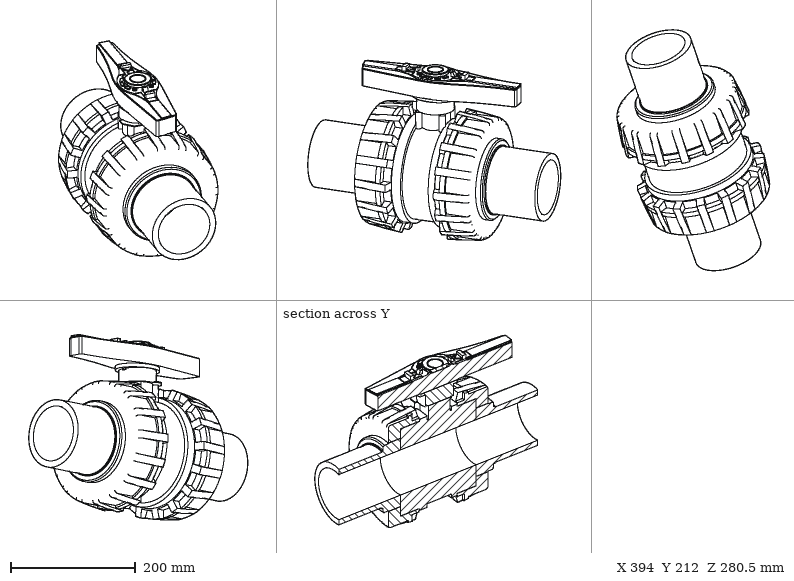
import cadquery as cq

OVERALL_LENGTH = 394.0
STEM_X = -2.0

BORE_DIAMETER = 89.0
FLANGE_DIAMETER = 178.0
WAIST_DIAMETER = 164.0
WAIST_LENGTH = 48.0
SPIGOT_DIAMETER = 171.0
BODY_END = 75.0

NECK_DIAMETER = 49.2
NECK_TOP = 107.5
NECK_ROOT = 59.0
POST_DIAMETER = 10.5
POST_OFFSET = 20.0

NUT_INNER_END = 38.0
NUT_OUTER_END = 99.0
NUT_DIAMETER = 199.5
NUT_EDGE_RADIUS = 4.7
SLEEVE_DIAMETER = 183.0
BAND_START = 51.2
BAND_END = 60.0
BAND_HIGH_RADIUS = 104.5
BAND_LOW_RADIUS = 103.2
RIB_COUNT = 16
RIB_WIDTH = 13.0
RIB_BAR_TOP = 110.5
RIB_INNER_END = 41.8
RIB_HIGH_RADIUS = 106.0
RIB_MIDDLE_RADIUS = 103.2
RIB_LOW_RADIUS = 99.3

PIPE_DIAMETER = 110.0
COLLAR_DIAMETER = 132.5
COLLAR_END = 109.5
COLLAR_CHAMFER = 2.5
STEP_DIAMETER = 113.5
STEP_END = 112.0

HUB_DIAMETER = 60.5
HUB_FLANGE_LENGTH = 78.8
HUB_FLANGE_WIDTH = 64.0
HUB_FLANGE_HEIGHT = 6.0
HUB_LUG_REACH = 1.0
HUB_LUG_WIDTH = 6.5
HUB_LUG_HEIGHT = 2.5
STOP_INNER = 7.0
STOP_OUTER = 34.5
STOP_CHAMFER = 15.0
STOP_THICKNESS = 1.5

HANDLE_BOTTOM = 135.5
HANDLE_SHOULDER = 165.5
HANDLE_TOP = 168.0
EDGE_CHAMFER = 1.0
RAIL_WIDTH = 17.7
RAIL_REACH = 157.5
POCKET_DEPTH = 1.0
POCKET_REACH = 19.7
MARK_TOP = 170.0
POINTER_TOP = 174.5
WEB_WIDTH = 15.8
WEB_START = 33.0
BLOCK_START = 48.0
BLOCK_END = 54.8
GRIP_RECESS_END = 66.5
ARROW_TIP = 37.5
WEDGE_WIDTH = 8.0
WEDGE_START = 28.5
WEDGE_CREST_END = 32.0
WEDGE_END = 36.0
MARK_RING_RADIUS = 26.5
MARK_LENGTH = 9.0
MARK_WIDTH = 5.0
MARK_PITCH = 30.0
MARK_STEPS = [2, 3, 4, 5, 7, 8, 9, 10]
BOSS_DIAMETER = 7.0
BOSS_ANGLE = 33.0
BOSS_HOLE_DIAMETER = 4.5
BOSS_HOLE_DEPTH = 6.0

CAP_NECK_DIAMETER = 38.0
CAP_DIAMETER = 43.5
CAP_CHAMFER = 1.0
CAP_RING_OUTER = 26.0
CAP_RING_INNER = 24.0
CAP_RING_DEPTH = 0.8


def cylinder_x(diameter, start, end):
    """Round bar along the pipe axis."""
    return cq.Workplane("YZ").workplane(offset=start).circle(diameter / 2).extrude(end - start)


def cylinder_z(diameter, bottom, top):
    """Round bar along the local Z axis."""
    return cq.Workplane("XY").workplane(offset=bottom).circle(diameter / 2).extrude(top - bottom)


def block(x_range, y_range, z_range):
    """Box between two limits along each axis."""
    size = [high - low for low, high in (x_range, y_range, z_range)]
    corner = (x_range[0], y_range[0], z_range[0])
    return cq.Workplane("XY").box(*size, centered=False).translate(corner)


def both_ends(part):
    """A part on the +X end and its mirror image on the -X end."""
    return [part, part.mirror("YZ")]


def make_body():
    waist_start = STEM_X - WAIST_LENGTH / 2
    body = cylinder_x(SPIGOT_DIAMETER, -BODY_END, BODY_END)
    body = body.union(cylinder_x(FLANGE_DIAMETER, -NUT_INNER_END, waist_start))
    body = body.union(cylinder_x(FLANGE_DIAMETER, waist_start + WAIST_LENGTH, NUT_INNER_END))

    waist_gap = (
        cq.Workplane("YZ").workplane(offset=waist_start)
        .circle(FLANGE_DIAMETER / 2).circle(WAIST_DIAMETER / 2).extrude(WAIST_LENGTH)
    )
    body = body.cut(waist_gap)

    neck = cylinder_z(NECK_DIAMETER, NECK_ROOT, NECK_TOP)
    posts = (
        cq.Workplane("XY").workplane(offset=NECK_ROOT)
        .rect(2 * POST_OFFSET, 2 * POST_OFFSET, forConstruction=True).vertices()
        .circle(POST_DIAMETER / 2).extrude(NECK_TOP - STOP_THICKNESS - NECK_ROOT)
    )
    body = body.union(neck.union(posts).translate((STEM_X, 0, 0)))
    return body.cut(cylinder_x(BORE_DIAMETER, -BODY_END, BODY_END))


def rounded_outer_edge(ring):
    """Round the rim of a ring at the outer end of the nut."""
    return ring.faces(">X").edges().fillet(NUT_EDGE_RADIUS)


def make_nut_ribs():
    """Tapered ribs, cut from a full ring by radial bars."""
    envelope = (
        cq.Workplane("XY")
        .moveTo(NUT_INNER_END, 0)
        .lineTo(NUT_INNER_END, SLEEVE_DIAMETER / 2)
        .lineTo(RIB_INNER_END, RIB_HIGH_RADIUS)
        .threePointArc(
            ((RIB_INNER_END + NUT_OUTER_END) / 2, RIB_MIDDLE_RADIUS),
            (NUT_OUTER_END, RIB_LOW_RADIUS),
        )
        .lineTo(NUT_OUTER_END, 0)
        .close().revolve(360, (0, 0), (1, 0))
    )
    envelope = rounded_outer_edge(envelope)
    inner_radius = SPIGOT_DIAMETER / 2
    bars = cq.Workplane("XY")
    for index in range(RIB_COUNT):
        bar = block(
            (NUT_INNER_END, NUT_OUTER_END),
            (-RIB_WIDTH / 2, RIB_WIDTH / 2),
            (inner_radius, RIB_BAR_TOP),
        )
        bars = bars.add(bar.rotate((0, 0, 0), (1, 0, 0), index * 360 / RIB_COUNT))
    return [envelope.intersect(cq.Workplane(bar)) for bar in bars.vals()]


def make_nut():
    barrel = rounded_outer_edge(cylinder_x(NUT_DIAMETER, BAND_START, NUT_OUTER_END))
    sleeve = cylinder_x(SLEEVE_DIAMETER, NUT_INNER_END, BAND_START)
    band = (
        cq.Workplane("XY")
        .polyline([
            (BAND_START, 0),
            (BAND_START, BAND_HIGH_RADIUS),
            (BAND_END, BAND_LOW_RADIUS),
            (BAND_END, 0),
        ])
        .close().revolve(360, (0, 0), (1, 0))
    )
    nut = barrel.union(sleeve).union(band)
    for rib in make_nut_ribs():
        nut = nut.union(rib)
    nut = nut.cut(cylinder_x(SPIGOT_DIAMETER, NUT_INNER_END, BODY_END))
    return nut.cut(cylinder_x(COLLAR_DIAMETER, BODY_END, NUT_OUTER_END))


def make_tail():
    collar = cylinder_x(COLLAR_DIAMETER, BODY_END, COLLAR_END).faces(">X").chamfer(COLLAR_CHAMFER)
    step = cylinder_x(STEP_DIAMETER, COLLAR_END, STEP_END)
    pipe = cylinder_x(PIPE_DIAMETER, BODY_END, OVERALL_LENGTH / 2)
    tail = collar.union(step).union(pipe)
    return tail.cut(cylinder_x(BORE_DIAMETER, BODY_END, OVERALL_LENGTH / 2))


def make_hub():
    flange_bottom = HANDLE_BOTTOM - HUB_FLANGE_HEIGHT
    hub = cylinder_z(HUB_DIAMETER, NECK_TOP, HANDLE_BOTTOM)
    flange = (
        cq.Workplane("XY").workplane(offset=flange_bottom)
        .ellipse(HUB_FLANGE_LENGTH / 2, HUB_FLANGE_WIDTH / 2).extrude(HUB_FLANGE_HEIGHT)
    )

    lug_reach = HUB_DIAMETER / 2 + HUB_LUG_REACH
    lugs = block(
        (-lug_reach, lug_reach),
        (-HUB_LUG_WIDTH / 2, HUB_LUG_WIDTH / 2),
        (flange_bottom - HUB_LUG_HEIGHT, flange_bottom),
    )

    limits = (STOP_INNER, STOP_OUTER)
    stop = block(limits, (-STOP_OUTER, -STOP_INNER), (NECK_TOP, NECK_TOP + STOP_THICKNESS))
    stop = stop.edges("|Z and >X and <Y").chamfer(STOP_CHAMFER)
    return hub.union(flange).union(lugs).union(stop).translate((STEM_X, 0, 0))


def handle_outline():
    """Long grip: a curved arm towards -X, a bulge at the stem and a straight arm towards +X."""
    return (
        cq.Workplane("XY")
        .moveTo(-145.0, 9.0)
        .lineTo(-143.0, 14.0)
        .threePointArc((-93.5, 19.0), (-45.5, 28.5))
        .threePointArc((-8.3, 34.3), (20.5, 33.0))
        .lineTo(117.5, 20.0)
        .lineTo(120.5, 17.0)
        .threePointArc((124.5, -1.5), (126.5, -14.0))
        .lineTo(125.3, -18.5)
        .lineTo(20.5, -33.0)
        .threePointArc((-8.3, -34.3), (-45.5, -28.5))
        .threePointArc((-93.5, -19.0), (-143.0, -14.0))
        .lineTo(-145.0, -9.0)
        .close()
    )


def platform_outline():
    """Raised area round the stem that narrows into the rails of the two arms."""
    tip = 67.0
    rail = RAIL_WIDTH / 2
    return (
        cq.Workplane("XY")
        .moveTo(-tip, rail)
        .threePointArc((-51.2, 12.0), (-WEB_START, 19.7))
        .threePointArc((0, 32.5), (WEB_START, 19.7))
        .threePointArc((51.2, 12.0), (tip, rail))
        .lineTo(tip, -rail)
        .threePointArc((51.2, -12.0), (WEB_START, -19.7))
        .threePointArc((0, -32.5), (-WEB_START, -19.7))
        .threePointArc((-51.2, -12.0), (-tip, -rail))
        .close()
    )


def make_pointer():
    """Arrow, upright block and wedge on the +X arm."""
    half_web = WEB_WIDTH / 2
    upright = block((BLOCK_START, BLOCK_END), (-half_web, half_web), (HANDLE_TOP, POINTER_TOP))
    arrow = (
        cq.Workplane("XY").workplane(offset=HANDLE_TOP)
        .polyline([(ARROW_TIP, 0), (BLOCK_START, half_web), (BLOCK_START, -half_web)])
        .close().extrude(MARK_TOP - HANDLE_TOP)
    )
    wedge = (
        cq.Workplane("XZ").workplane(offset=-WEDGE_WIDTH / 2)
        .polyline([
            (WEDGE_START, HANDLE_TOP),
            (WEDGE_START, POINTER_TOP),
            (WEDGE_CREST_END, POINTER_TOP),
            (WEDGE_END, HANDLE_TOP),
        ])
        .close().extrude(WEDGE_WIDTH)
    )
    return [upright, arrow, wedge]


def make_position_marks():
    """Raised tiles in a ring round the cap, leaving out the arms and the two bosses."""
    tile = block(
        (MARK_RING_RADIUS - MARK_WIDTH / 2, MARK_RING_RADIUS + MARK_WIDTH / 2),
        (-MARK_LENGTH / 2, MARK_LENGTH / 2),
        (HANDLE_TOP, MARK_TOP),
    )
    return [tile.rotate((0, 0, 0), (0, 0, 1), step * MARK_PITCH) for step in MARK_STEPS]


def make_handle():
    handle = handle_outline().extrude(HANDLE_SHOULDER - HANDLE_BOTTOM)
    handle = handle.faces(">Z").edges().chamfer(EDGE_CHAMFER).translate((0, 0, HANDLE_BOTTOM))

    raised_height = HANDLE_TOP - HANDLE_SHOULDER
    envelope = handle_outline().extrude(raised_height).translate((0, 0, HANDLE_SHOULDER))
    platform = platform_outline().extrude(raised_height).translate((0, 0, HANDLE_SHOULDER))
    rail = block(
        (-RAIL_REACH, RAIL_REACH),
        (-RAIL_WIDTH / 2, RAIL_WIDTH / 2),
        (HANDLE_SHOULDER, HANDLE_TOP),
    )
    handle = handle.union(platform.union(rail).intersect(envelope))

    pocket_floor = HANDLE_TOP - POCKET_DEPTH
    for side in (-1, 1):
        corner_x = sorted((side * WEB_START, side * BLOCK_END))
        recess_x = sorted((side * BLOCK_END, side * GRIP_RECESS_END))
        web = (-WEB_WIDTH / 2, WEB_WIDTH / 2)
        shoulder_pocket = block(corner_x, (-POCKET_REACH, POCKET_REACH), (pocket_floor, HANDLE_TOP))
        shoulder_pocket = shoulder_pocket.cut(block(corner_x, web, (pocket_floor, HANDLE_TOP)))
        handle = handle.cut(shoulder_pocket)
        handle = handle.cut(block(recess_x, web, (pocket_floor, HANDLE_TOP)))

    for feature in make_pointer():
        for copy in both_ends(feature):
            handle = handle.union(copy)
    for mark in make_position_marks():
        handle = handle.union(mark)

    boss = cylinder_z(BOSS_DIAMETER, HANDLE_TOP, MARK_TOP).translate((MARK_RING_RADIUS, 0, 0))
    hole = cylinder_z(BOSS_HOLE_DIAMETER, MARK_TOP - BOSS_HOLE_DEPTH, MARK_TOP)
    hole = hole.translate((MARK_RING_RADIUS, 0, 0))
    for angle in (-BOSS_ANGLE, BOSS_ANGLE):
        handle = handle.union(boss.rotate((0, 0, 0), (0, 0, 1), angle))
        handle = handle.cut(hole.rotate((0, 0, 0), (0, 0, 1), angle))
    return handle.translate((STEM_X, 0, 0))


def make_cap():
    neck = cylinder_z(CAP_NECK_DIAMETER, HANDLE_TOP, MARK_TOP)
    head = cylinder_z(CAP_DIAMETER, MARK_TOP, POINTER_TOP).faces(">Z").chamfer(CAP_CHAMFER)
    ring = cylinder_z(CAP_RING_OUTER, POINTER_TOP - CAP_RING_DEPTH, POINTER_TOP)
    ring = ring.cut(cylinder_z(CAP_RING_INNER, POINTER_TOP - CAP_RING_DEPTH, POINTER_TOP))
    return neck.union(head).cut(ring).translate((STEM_X, 0, 0))


body = make_body()
nuts = both_ends(make_nut())
tails = both_ends(make_tail())
hub = make_hub()
handle = make_handle()
cap = make_cap()

result = cq.Compound.makeCompound(
    [part.val() for part in [body, *nuts, *tails, hub, handle, cap]]
)